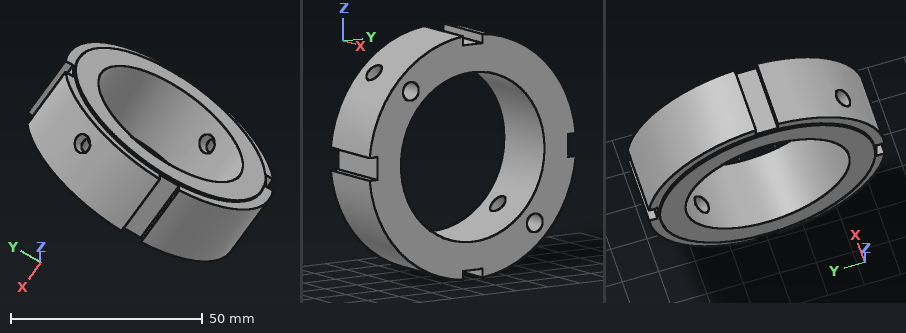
import cadquery as cq

total_width = 19.0
collar_height = 0.6
outer_diameter = 65.0
collar_diameter = 59.0
bore_diameter = 45.0

slot_count = 4
slot_width = 6.0
slot_floor_radius = 29.95

hole_diameter = 5.0
hole_from_face = 7.0
hole_angles = (45, 225)

outer_radius = outer_diameter / 2
bore_radius = bore_diameter / 2

axial_hole_diameter = 4.9
axial_hole_radial_place = (outer_radius + bore_radius) / 2

cut_margin = 0.65


def ring_body():
    collar = cq.Workplane("YZ").circle(collar_diameter / 2).extrude(total_width)
    rim = (
        cq.Workplane("YZ", origin=(collar_height, 0, 0))
        .circle(outer_radius)
        .extrude(total_width - collar_height)
    )
    bore = cq.Workplane("YZ").circle(bore_radius).extrude(total_width)
    return collar.union(rim).cut(bore)


def spanner_slot(angle):
    slot_depth = outer_radius + cut_margin - slot_floor_radius
    return (
        cq.Workplane("XY", origin=(0, 0, slot_floor_radius))
        .box(total_width, slot_width, slot_depth, centered=(False, True, False))
        .rotate((0, 0, 0), (1, 0, 0), angle)
    )


def radial_hole(angle):
    return (
        cq.Workplane("XY", origin=(hole_from_face, 0, 0))
        .circle(hole_diameter / 2)
        .extrude(outer_radius + cut_margin)
        .rotate((0, 0, 0), (1, 0, 0), angle)
    )


def axial_hole(angle):
    return (
        cq.Workplane("YZ", origin=(hole_from_face, 0, axial_hole_radial_place))
        .circle(axial_hole_diameter / 2)
        .extrude(total_width - hole_from_face)
        .rotate((0, 0, 0), (1, 0, 0), angle)
    )


result = ring_body()
for index in range(slot_count):
    result = result.cut(spanner_slot(index * 360 / slot_count))
for hole_angle in hole_angles:
    result = result.cut(radial_hole(hole_angle))
    result = result.cut(axial_hole(hole_angle))